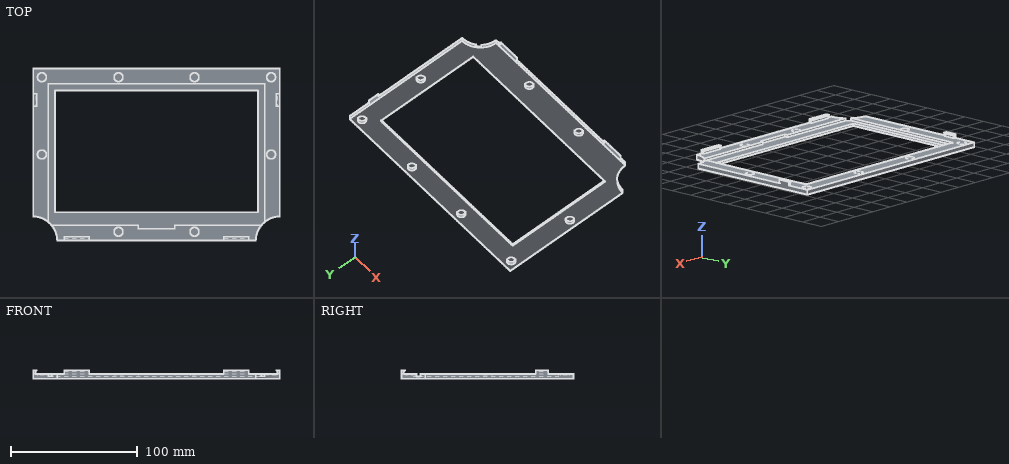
import cadquery as cq

LENGTH = 195.0
WIDTH = 136.0
PLATE_THICKNESS = 4.0
CORNER_CUT_RADIUS = 19.0

RIM_WIDTH = 12.0
RECESS_FLOOR_Z = 2.0
WINDOW_LENGTH = 160.0
WINDOW_WIDTH = 96.0
BACK_LEDGE = 5.5
NOTCH_LENGTH = 28.5
NOTCH_DEPTH = 2.5

HOOK_HEIGHT = 3.0
HOOK_STEM = 2.0
HOOK_REACH = 3.0
FRONT_HOOK_LENGTH = 20.0
FRONT_HOOK_X = 63.0
SIDE_HOOK_LENGTH = 10.0
SIDE_HOOK_FROM_BACK = 25.0

POCKET_DIAMETER = 7.0
POCKET_ROOF = 0.6
POCKET_EDGE_DISTANCE = 7.0
POCKET_X = 30.0

HALF_LENGTH = LENGTH / 2
HALF_WIDTH = WIDTH / 2
RECESS_LENGTH = LENGTH - 2 * RIM_WIDTH
RECESS_WIDTH = WIDTH - 2 * RIM_WIDTH


def block(length, width, z_bottom, z_top, y_center=0.0):
    """Upright block centred on X = 0."""
    return (
        cq.Workplane("XY", origin=(0, y_center, z_bottom))
        .rect(length, width)
        .extrude(z_top - z_bottom)
    )


def make_plate():
    """Rectangular plate with concave quarter-round cuts at the two front corners."""
    corner_cuts = (
        cq.Workplane("XY")
        .pushPoints([(-HALF_LENGTH, -HALF_WIDTH), (HALF_LENGTH, -HALF_WIDTH)])
        .circle(CORNER_CUT_RADIUS)
        .extrude(PLATE_THICKNESS)
    )
    return block(LENGTH, WIDTH, 0, PLATE_THICKNESS).cut(corner_cuts)


def make_opening():
    """Panel recess with its front notch, plus the window through the floor."""
    recess = block(RECESS_LENGTH, RECESS_WIDTH, RECESS_FLOOR_Z, PLATE_THICKNESS)
    notch = block(
        NOTCH_LENGTH, 2 * NOTCH_DEPTH, RECESS_FLOOR_Z, PLATE_THICKNESS, y_center=-RECESS_WIDTH / 2
    )
    window_y = RECESS_WIDTH / 2 - BACK_LEDGE - WINDOW_WIDTH / 2
    window = block(WINDOW_LENGTH, WINDOW_WIDTH, 0, PLATE_THICKNESS, y_center=window_y)
    return recess.union(notch).union(window)


def make_hook(length):
    """Hook along X, back face on Y = 0, with its barb sloping out towards +Y at the top."""
    barb = HOOK_REACH - HOOK_STEM
    profile = [
        (0, 0),
        (HOOK_STEM, 0),
        (HOOK_STEM, HOOK_HEIGHT - barb),
        (HOOK_REACH, HOOK_HEIGHT),
        (0, HOOK_HEIGHT),
    ]
    return cq.Workplane("YZ").polyline(profile).close().extrude(length / 2, both=True)


def place_hook(length, x, y, turn):
    """Hook turned about Z and set on the plate top at (x, y)."""
    return make_hook(length).rotate((0, 0, 0), (0, 0, 1), turn).translate((x, y, PLATE_THICKNESS))


def add_hooks(body):
    """Two hooks on the front edge and one on each side edge, all facing inward."""
    side_y = HALF_WIDTH - SIDE_HOOK_FROM_BACK
    for side in (-1, 1):
        front_hook = place_hook(FRONT_HOOK_LENGTH, side * FRONT_HOOK_X, -HALF_WIDTH, 0)
        side_hook = place_hook(SIDE_HOOK_LENGTH, side * HALF_LENGTH, side_y, side * 90)
        body = body.union(front_hook).union(side_hook)
    return body


def make_pockets():
    """Pockets along the front, back and side rims, each leaving a thin roof."""
    edge_x = HALF_LENGTH - POCKET_EDGE_DISTANCE
    edge_y = HALF_WIDTH - POCKET_EDGE_DISTANCE
    centers = []
    for side in (-1, 1):
        centers.append((side * edge_x, edge_y))
        centers.append((side * edge_x, 0))
        centers.append((side * POCKET_X, edge_y))
        centers.append((side * POCKET_X, -edge_y))
    return (
        cq.Workplane("XY")
        .pushPoints(centers)
        .circle(POCKET_DIAMETER / 2)
        .extrude(PLATE_THICKNESS - POCKET_ROOF)
    )


frame = make_plate().cut(make_opening()).cut(make_pockets())
result = add_hooks(frame)